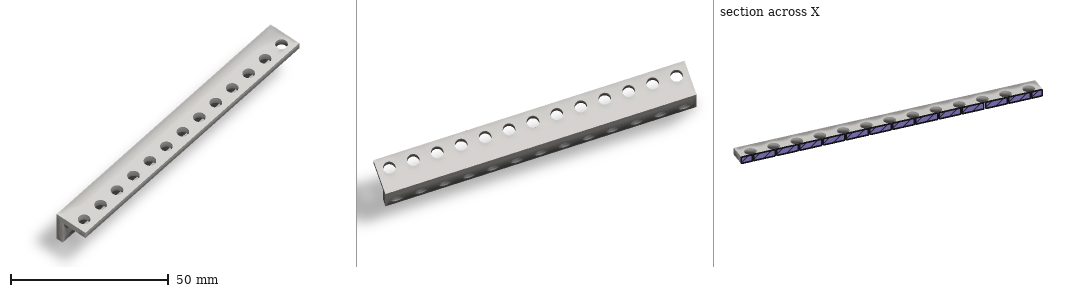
import cadquery as cq

leg_width = 12.0
wall = 2.5
hole_count = 13
hole_pitch = 8.0
hole_diameter = 4.0
hole_from_corner = 8.0
length = hole_count * hole_pitch

hole_positions = [(i + 0.5) * hole_pitch for i in range(hole_count)]


def angle_bar():
    """L section along Y: one leg on top, one leg down the -X side, outer corner at X = Z = 0."""
    top_leg = cq.Workplane("XY").box(leg_width, length, wall, centered=False).translate((0, 0, -wall))
    side_leg = cq.Workplane("XY").box(wall, length, leg_width, centered=False).translate((0, 0, -leg_width))
    return top_leg.union(side_leg)


def top_leg_holes():
    """Row of vertical cylinders through the top leg."""
    centres = [(hole_from_corner, y) for y in hole_positions]
    return cq.Workplane("XY").pushPoints(centres).circle(hole_diameter / 2).extrude(-wall)


def side_leg_holes():
    """Row of cylinders along X through the side leg."""
    centres = [(y, -hole_from_corner) for y in hole_positions]
    return cq.Workplane("YZ").pushPoints(centres).circle(hole_diameter / 2).extrude(wall)


result = angle_bar().cut(top_leg_holes()).cut(side_leg_holes())